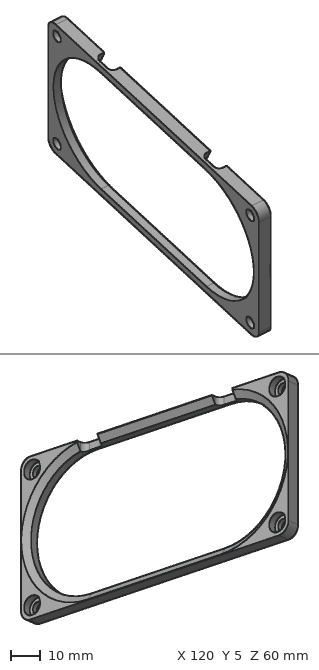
import cadquery as cq
import math

length = 120.0
height = 60.0
thickness = 5.0
corner_radius = 4.3

rim = 3.0
opening_length = length - 2 * rim
opening_height = height - 2 * rim
flare_depth = 1.8
flare_width = 2.8

hole_diameter = 4.5
hole_inset = 5.0
counterbore_diameter = 7.2
counterbore_depth = 3.0

notch_width = 9.1
notch_depth = 3.7
notch_corner_radius = 2.2
notch_offset = 30.2


def make_plate():
    plate = cq.Workplane("XY").box(length, thickness, height)
    return plate.edges("|Y").fillet(corner_radius)


def make_opening():
    """Round-ended cutter that flares out at the back face."""
    back_face = cq.Workplane("XZ", origin=(0, thickness / 2, 0))
    flared_length = opening_length + 2 * flare_width
    flared_height = opening_height + 2 * flare_width
    flare_angle = math.degrees(math.atan2(flare_width, flare_depth))
    straight = back_face.slot2D(opening_length, opening_height).extrude(thickness)
    flare = back_face.slot2D(flared_length, flared_height).extrude(flare_depth, taper=flare_angle)
    return straight.union(flare)


def make_holes():
    """Through holes, counterbored from the back face."""
    spacing_x = length - 2 * hole_inset
    spacing_z = height - 2 * hole_inset
    back_face = cq.Workplane("XZ", origin=(0, thickness / 2, 0))
    centers = back_face.rect(spacing_x, spacing_z, forConstruction=True).vertices()
    bores = centers.circle(hole_diameter / 2).extrude(thickness)
    counterbores = centers.circle(counterbore_diameter / 2).extrude(counterbore_depth)
    return bores.union(counterbores)


def make_notch(center_x):
    """Channel through the top rim, open at the back, with rounded floor corners."""
    channel = cq.Workplane("XY").box(notch_width, notch_depth, height / 2, centered=(True, False, False))
    channel = channel.edges("|Z and <Y").fillet(notch_corner_radius)
    return channel.translate((center_x, thickness / 2 - notch_depth, 0))


result = make_plate().cut(make_opening()).cut(make_holes())
for side in (-1, 1):
    result = result.cut(make_notch(side * notch_offset))